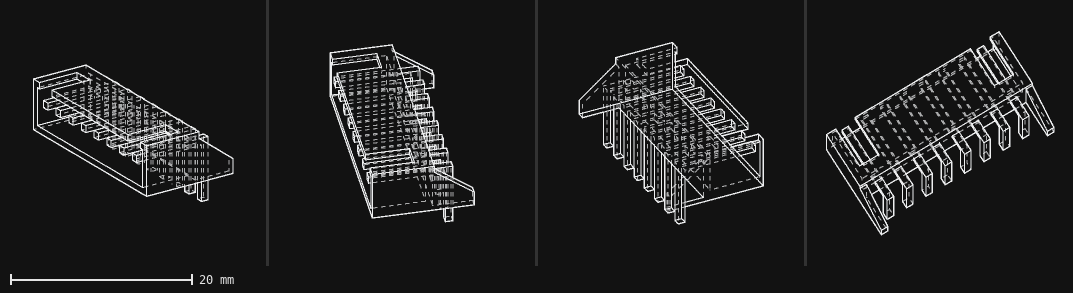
import cadquery as cq

WIDTH = 22.4
DEPTH = 7.0
HEIGHT = 6.1
WALL = 0.78
CAVITY_DEPTH = 6.18

SLOT_WIDTH = 2.5
SLOT_DEPTH = 5.0
SLOT_EDGE_GAP = 1.2

EAR_THICKNESS = 0.85
EAR_LENGTH = 4.5
EAR_FRONT_HEIGHT = 5.29
EAR_REAR_HEIGHT = 1.8

PIN_COUNT = 8
PIN_PITCH = 2.5
PIN_SIZE = 0.85
PIN_AXIS_Z = 3.79
PIN_TAIL = 3.4
PIN_OVERHANG = 2.5
PIN_REAR_Y = DEPTH + PIN_OVERHANG
PIN_FRONT_Y = 0.0

PIN_XS = [(i - (PIN_COUNT - 1) / 2) * PIN_PITCH for i in range(PIN_COUNT)]


def block(x_min, x_max, y_min, y_max, z_min, z_max):
    """Box between the given limits."""
    return cq.Workplane("XY").box(
        x_max - x_min, y_max - y_min, z_max - z_min, centered=False
    ).translate((x_min, y_min, z_min))


def make_ear(x_min):
    """Side ear whose top edge slopes down towards the rear."""
    rear_y = DEPTH + EAR_LENGTH
    return (
        cq.Workplane("YZ", origin=(x_min, 0, 0))
        .moveTo(DEPTH, 0)
        .lineTo(rear_y, 0)
        .lineTo(rear_y, EAR_REAR_HEIGHT)
        .lineTo(DEPTH, EAR_FRONT_HEIGHT)
        .close()
        .extrude(EAR_THICKNESS)
    )


def make_housing():
    """Open-fronted shroud with ears, roof slots and square pin holes."""
    half = WIDTH / 2
    housing = block(-half, half, 0, DEPTH, 0, HEIGHT)
    inner_half = half - WALL
    housing = housing.cut(block(-inner_half, inner_half, 0, CAVITY_DEPTH, WALL, HEIGHT - WALL))

    slot_outer = half - SLOT_EDGE_GAP
    slot_inner = slot_outer - SLOT_WIDTH
    for x_min, x_max in ((-slot_outer, -slot_inner), (slot_inner, slot_outer)):
        housing = housing.cut(block(x_min, x_max, 0, SLOT_DEPTH, HEIGHT - WALL, HEIGHT))

    for x_min in (-half, half - EAR_THICKNESS):
        housing = housing.union(make_ear(x_min))

    for x in PIN_XS:
        housing = housing.cut(make_pin_bar(x))
    return housing


def make_pin_bar(x):
    """Horizontal leg of a pin, which passes through the housing's rear wall."""
    half = PIN_SIZE / 2
    return block(x - half, x + half, PIN_FRONT_Y, PIN_REAR_Y, PIN_AXIS_Z - half, PIN_AXIS_Z + half)


def make_pin(x):
    """L-shaped square pin with its tail bent down below the housing."""
    half = PIN_SIZE / 2
    tail = block(x - half, x + half, PIN_REAR_Y - PIN_SIZE, PIN_REAR_Y, -PIN_TAIL, PIN_AXIS_Z + half)
    return make_pin_bar(x).union(tail)


housing = make_housing()
pins = [make_pin(x).val() for x in PIN_XS]

result = cq.Compound.makeCompound([housing.val(), *pins])